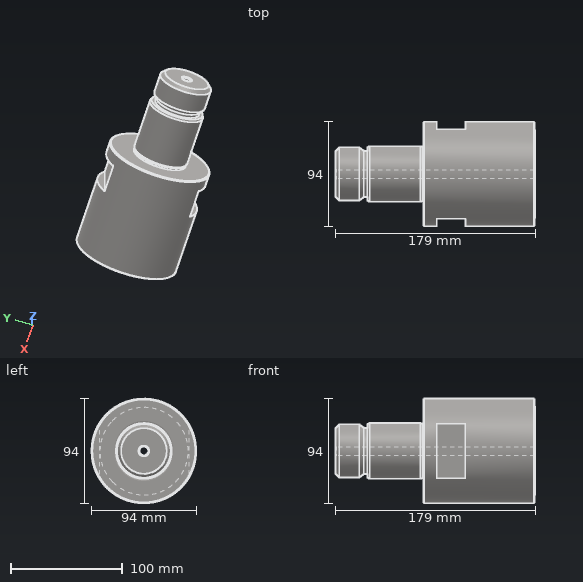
import cadquery as cq

total_length = 179.0
nose_end = 21.3
neck_start = 25.6
neck_end = 28.6
body_start = 79.0
end_land_height = 0.5

nose_radius = 24.0
neck_radius = 20.8
shank_radius = 25.0
body_radius = 46.99
end_land_radius = 39.4
bore_radius = 4.0

nose_chamfer = 3.5
shank_chamfer_length = 2.1
shank_chamfer_height = 1.0
body_chamfer = 0.9
bore_chamfer = 0.9

relief_start = 76.3
relief_floor_start = 77.7
relief_depth = 0.5
relief_outer_radius = 26.8

flat_start = 91.0
flat_length = 25.5
flat_distance = 40.1


def make_turned_body():
    """Revolve the half profile, drawn as (x, radius), about the X axis."""
    body_end = total_length - end_land_height
    relief_radius = shank_radius - relief_depth
    profile = [
        (0, 0),
        (0, nose_radius - nose_chamfer),
        (nose_chamfer, nose_radius),
        (nose_end, nose_radius),
        (neck_start, neck_radius),
        (neck_end, neck_radius),
        (neck_end, shank_radius - shank_chamfer_height),
        (neck_end + shank_chamfer_length, shank_radius),
        (relief_start, shank_radius),
        (relief_floor_start, relief_radius),
        (body_start + relief_depth, relief_radius),
        (body_start, relief_outer_radius),
        (body_start, body_radius - body_chamfer),
        (body_start + body_chamfer, body_radius),
        (body_end - body_chamfer, body_radius),
        (body_end, body_radius - body_chamfer),
        (body_end, end_land_radius),
        (total_length, end_land_radius),
        (total_length, 0),
    ]
    return cq.Workplane("XY").polyline(profile).close().revolve(360, (0, 0, 0), (1, 0, 0))


def make_bore():
    """Through bore with a chamfered mouth at the shank tip."""
    profile = [
        (0, 0),
        (0, bore_radius + bore_chamfer),
        (bore_chamfer, bore_radius),
        (total_length, bore_radius),
        (total_length, 0),
    ]
    return cq.Workplane("XY").polyline(profile).close().revolve(360, (0, 0, 0), (1, 0, 0))


def make_flat_cutter(side):
    """Block that removes the body beyond one flat; side is -1 or +1 along Y."""
    cutter = cq.Workplane("XY").box(flat_length, body_radius, 2 * body_radius)
    center_y = side * (flat_distance + body_radius / 2)
    return cutter.translate((flat_start + flat_length / 2, center_y, 0))


result = make_turned_body().cut(make_bore())
for side in (-1, 1):
    result = result.cut(make_flat_cutter(side))